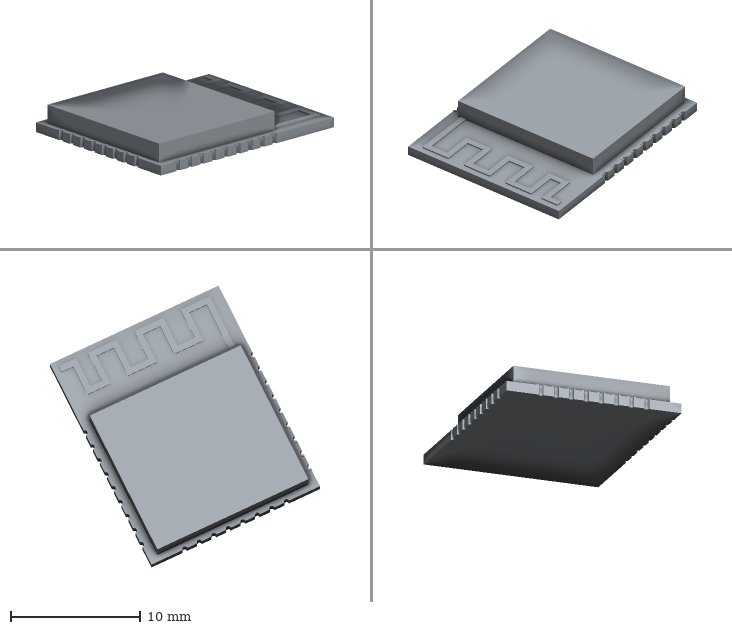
import cadquery as cq

board_width = 14.5
board_length = 18.0
board_thickness = 0.8
total_height = 2.3

shield_width = 13.0
shield_length = 12.0
shield_front_margin = 0.5

contact_radius = 0.2
ring_radius = 0.35
ring_height = 0.05
side_contact_count = 9
side_row_length = 10.0
side_row_front_margin = 1.8
front_contact_count = 8
contact_pitch = side_row_length / (side_contact_count - 1)

trace_width = 0.5
trace_height = 0.1
trace_margin = 0.5
loop_depth = 3.0
arm_pitch = 2.0
first_arm_pitch = 1.5
arm_count = 7

right_edge = board_width / 2
left_edge = -right_edge
back_edge = board_length / 2
front_edge = -back_edge
shield_back = front_edge + shield_front_margin + shield_length


def contact_points():
    """Contact centres on the left, right and front edges of the board."""
    points = []
    for i in range(side_contact_count):
        y = front_edge + side_row_front_margin + i * contact_pitch
        points.append((left_edge, y))
        points.append((right_edge, y))
    for i in range(front_contact_count):
        x = (i - (front_contact_count - 1) / 2) * contact_pitch
        points.append((x, front_edge))
    return points


def make_board():
    """Board with pad rings trimmed at its edges and contacts cut through."""
    height = board_thickness + ring_height
    contacts = contact_points()
    board = cq.Workplane("XY").rect(board_width, board_length).extrude(board_thickness)
    envelope = cq.Workplane("XY").rect(board_width, board_length).extrude(height)
    rings = cq.Workplane("XY").pushPoints(contacts).circle(ring_radius).extrude(height)
    holes = cq.Workplane("XY").pushPoints(contacts).circle(contact_radius).extrude(height)
    return board.union(rings.intersect(envelope)).cut(holes)


def make_shield():
    """Plain rectangular can standing on the board."""
    return (
        cq.Workplane("XY", origin=(0, shield_back - shield_length / 2, board_thickness))
        .rect(shield_width, shield_length)
        .extrude(total_height - board_thickness)
    )


def trace_path():
    """Centreline of the antenna, from its free end to the shield."""
    back_y = back_edge - trace_margin - trace_width / 2
    loop_y = back_y - loop_depth + trace_width
    feed_x = right_edge - 2 * trace_margin - trace_width / 2
    arms = [feed_x - i * arm_pitch for i in reversed(range(arm_count - 1))]
    arms.insert(0, arms[0] - first_arm_pitch)

    points = [(left_edge + trace_margin + trace_width / 2, back_y)]
    for i, x in enumerate(arms[:-1]):
        ends = [(x, back_y), (x, loop_y)]
        points += ends if i % 2 == 0 else reversed(ends)
    points += [(feed_x, back_y), (feed_x, shield_back - trace_width / 2)]
    return points


def make_antenna():
    """One raised strip per straight run, overlapping squarely at the corners."""
    path = trace_path()
    antenna = cq.Workplane("XY")
    for (x0, y0), (x1, y1) in zip(path, path[1:]):
        strip = (
            cq.Workplane("XY", origin=((x0 + x1) / 2, (y0 + y1) / 2, board_thickness))
            .rect(abs(x1 - x0) + trace_width, abs(y1 - y0) + trace_width)
            .extrude(trace_height)
        )
        antenna = antenna.union(strip)
    return antenna


result = make_board().union(make_antenna()).union(make_shield()).clean()